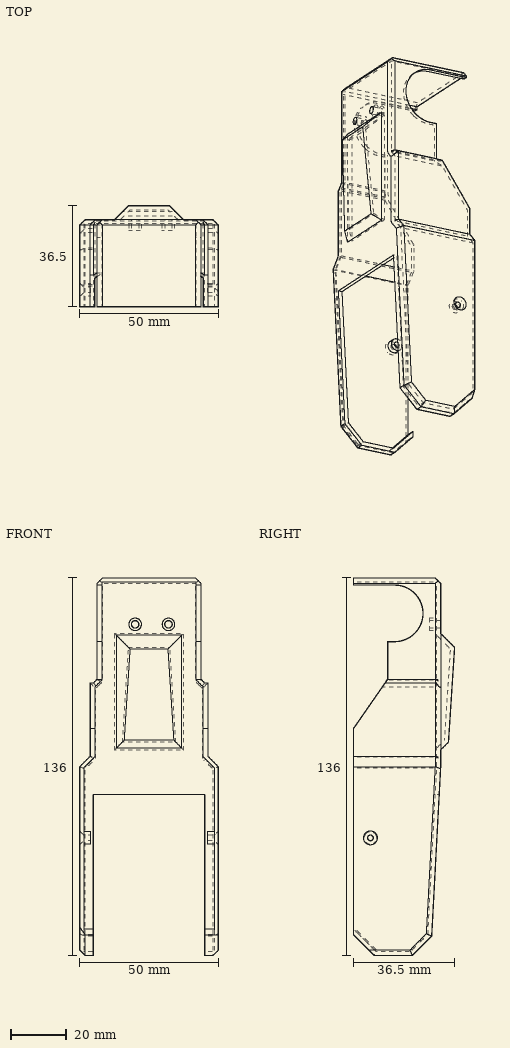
import cadquery as cq
import math

height = 136.0
depth = 31.5
wall = 1.5
edge_chamfer = 2.0
bevel_angle = 45.0

leg_half = 25.0
middle_half = 21.25
top_half = 18.75
middle_inner_half = 19.5
top_inner_half = 17.0
leg_inner_half = leg_half - wall

leg_shoulder_z = 68.0
top_shoulder_z = 99.5
leg_inner_shoulder_z = 67.6
top_inner_shoulder_z = 99.25
ledge_z = 98.25

lean_start_z = 68.25
heel_y = 28.25
heel_z = 7.0
toe_cut = 7.5
leg_gap_half = 20.0
leg_gap_top_z = 58.0

overrun = 20.0
lean_angle = math.atan2(depth - heel_y, lean_start_z - heel_z)


def lean_y(z):
    """Outside Y of the leaning back of the legs at height z."""
    return heel_y + (z - heel_z) * math.tan(lean_angle)


notch_radius = 10.15
notch_center_y = 14.9
notch_center_z = 123.25
cheek_y = 12.3
slope_end_z = 81.75

dome_height = 5.0
dome_base_half = 12.4
dome_base_bottom_z = 74.1
dome_base_top_z = 116.0
dome_bottom_rise = 2.8

boss_diameter = 4.5
boss_length = 2.5
plate_hole_diameter = 2.6
plate_hole_spacing = 12.0
plate_hole_offset = 1.0
plate_hole_z = 119.3
leg_hole_diameter = 2.0
leg_hole_y = 6.15
leg_hole_z = 42.4
countersink_diameter = 5.0


def width_prism(half_outline, length):
    """Mirror an (x, z) half outline about X = 0 and extrude it from the open face towards +Y."""
    right = [(z, x) for x, z in half_outline]
    left = [(z, -x) for x, z in reversed(half_outline)]
    return cq.Workplane("ZX").polyline(right + left).close().extrude(length)


def side_prism(outline, half_width=leg_half):
    """Extrude a (y, z) outline to the same distance on both sides of X = 0."""
    return cq.Workplane("YZ").polyline(outline).close().extrude(half_width, both=True)


def beveled(prism, end_face):
    """Cap one end of a prism with a layer that tapers in by the edge chamfer."""
    cap = prism.faces(end_face).wires().toPending().workplane()
    cap = cap.extrude(edge_chamfer, combine=False, taper=bevel_angle)
    return prism.union(cap)


def toe_limit():
    """Everything behind the 45 degree toe cut; the cut is bevelled on the -X foot only."""
    back = depth + overrun
    top = height + overrun
    plane = cq.Workplane("YZ", origin=(edge_chamfer - leg_half, 0, 0))
    limit = plane.polyline([
        (-overrun, toe_cut + overrun),
        (toe_cut + overrun, -overrun),
        (back, -overrun),
        (back, top),
        (-overrun, top),
    ]).close().extrude(2 * leg_half - edge_chamfer)
    return beveled(limit, "<X")


def outer_body():
    """Solid envelope: stepped front outline and foot outline, each bevelled at its ends."""
    ledge_half = top_half + top_shoulder_z - ledge_z
    stages = width_prism([
        (leg_half, 0),
        (leg_half, leg_shoulder_z),
        (middle_half, leg_shoulder_z + leg_half - middle_half),
        (middle_half, ledge_z),
        (ledge_half, ledge_z),
        (top_half, top_shoulder_z),
        (top_half, height),
    ], depth - edge_chamfer)
    stages = beveled(stages, ">Y")
    legs = side_prism([
        (-overrun, 0),
        (heel_y - heel_z, 0),
        (heel_y, heel_z),
        (lean_y(height + overrun), height + overrun),
        (-overrun, height + overrun),
    ], leg_half - edge_chamfer)
    legs = beveled(beveled(legs, ">X"), "<X")
    roof_half = top_half - edge_chamfer
    roof = width_prism([
        (leg_half, -overrun),
        (leg_half, height - (leg_half - roof_half)),
        (roof_half, height),
    ], depth)
    return stages.intersect(legs).intersect(roof).intersect(toe_limit())


def cavity():
    """Space inside the shell, with sharp inner corners, open towards -Y."""
    stages = width_prism([
        (leg_inner_half, 0),
        (leg_inner_half, leg_inner_shoulder_z),
        (middle_inner_half, leg_inner_shoulder_z + leg_inner_half - middle_inner_half),
        (middle_inner_half, top_inner_shoulder_z - (middle_inner_half - top_inner_half)),
        (top_inner_half, top_inner_shoulder_z),
        (top_inner_half, height - wall),
    ], depth - wall)
    lean_shift = wall / math.cos(lean_angle)
    inner_toe = toe_cut + wall * math.sqrt(2)
    heel_sum = heel_y - heel_z - wall * math.sqrt(2)
    lean_slope = math.tan(lean_angle)
    inner_heel_z = (lean_y(0) - lean_shift - heel_sum) / (1 - lean_slope)
    legs = side_prism([
        (0, inner_toe),
        (inner_toe - wall, wall),
        (heel_sum + wall, wall),
        (heel_sum + inner_heel_z, inner_heel_z),
        (lean_y(height) - lean_shift, height),
        (0, height),
    ])
    return stages.intersect(legs)


def leg_gap():
    """Opening between the legs, through the leaning back plate."""
    return cq.Workplane("XY").box(2 * leg_gap_half, depth, leg_gap_top_z, centered=(True, False, False))


def side_wall_notch():
    """Round notch with a straight throat, and the sloping front edge of the side walls."""
    top = notch_center_z + notch_radius
    bottom = notch_center_z - notch_radius
    return (
        cq.Workplane("YZ")
        .moveTo(0, top)
        .lineTo(notch_center_y, top)
        .threePointArc((notch_center_y + notch_radius, notch_center_z), (notch_center_y, bottom))
        .lineTo(cheek_y, bottom)
        .lineTo(cheek_y, top_shoulder_z)
        .lineTo(0, slope_end_z)
        .close()
        .extrude(leg_half, both=True)
    )


def dome_block(base_y, clearance):
    """Block with 45 degree flanks on the plane Y = base_y, moved in from the outer dome by clearance."""
    side_inset = clearance * (math.sqrt(2) - 1)
    face_tilt = math.atan2(
        dome_height - dome_bottom_rise,
        dome_base_top_z - dome_base_bottom_z - dome_height - dome_bottom_rise,
    )
    half = dome_base_half - side_inset
    bottom = dome_base_bottom_z + side_inset
    top = dome_base_top_z - side_inset
    flanks = (
        cq.Workplane("ZX", origin=(0, base_y, 0))
        .center((bottom + top) / 2, 0)
        .rect(top - bottom, 2 * half)
        .extrude(dome_height + clearance, taper=bevel_angle)
    )
    drop = clearance / math.cos(face_tilt)
    slope = math.tan(face_tilt)
    crown_top_z = dome_base_top_z - dome_height

    def crown_y(z):
        return depth + dome_height - drop - (crown_top_z - z) * slope

    under_crown = side_prism([
        (0, bottom),
        (crown_y(bottom), bottom),
        (crown_y(top), top),
        (0, top),
    ])
    return flanks.intersect(under_crown)


def cylinder_x(diameter, x_start, length):
    """Cylinder along +X on the screw axis of the +X leg."""
    plane = cq.Workplane("YZ", origin=(x_start, leg_hole_y, leg_hole_z))
    return plane.circle(diameter / 2).extrude(length)


def add_leg_screws(body):
    """Boss inside each leg, with a through hole countersunk from outside."""
    boss = cylinder_x(boss_diameter, leg_inner_half - boss_length, boss_length + wall)
    hole = cylinder_x(leg_hole_diameter, leg_inner_half - boss_length, boss_length + wall)
    sink_depth = (countersink_diameter - leg_hole_diameter) / 2
    sink = (
        cq.Workplane("ZY", origin=(leg_half, leg_hole_y, leg_hole_z))
        .circle(countersink_diameter / 2)
        .extrude(sink_depth, taper=bevel_angle)
    )
    cutter = hole.union(sink)
    body = body.union(boss).union(boss.mirror("YZ"))
    return body.cut(cutter).cut(cutter.mirror("YZ"))


def add_plate_screws(body):
    """Two bosses inside the back plate, each with a plain through hole."""
    inner_y = depth - wall
    for side in (-1, 1):
        x = plate_hole_offset + side * plate_hole_spacing / 2
        plane = cq.Workplane("ZX", origin=(x, inner_y - boss_length, plate_hole_z))
        body = body.union(plane.circle(boss_diameter / 2).extrude(boss_length + wall))
        body = body.cut(plane.circle(plate_hole_diameter / 2).extrude(boss_length + wall))
    return body


shell = outer_body().cut(cavity()).cut(leg_gap()).cut(side_wall_notch())
shell = shell.union(dome_block(depth, 0)).cut(dome_block(depth - wall, wall))
result = add_plate_screws(add_leg_screws(shell))